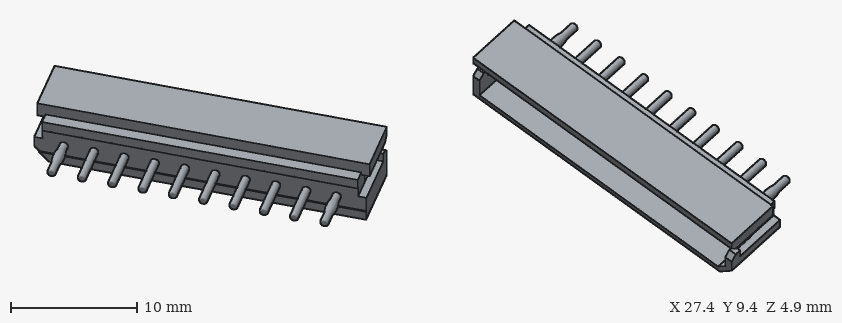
import cadquery as cq
import math

length = 27.4
height = 4.9
depth = 5.9
total_depth = 9.4

plate_depth = 4.9
plate_thickness = 1.23
lead_in = 0.5

floor_thickness = 0.5
rail_width = 0.68
rail_height = 2.16
lip_height = 2.93
lip_depth = 1.01
corner_chamfer = 1.23

web_start = 3.97
web_height = 3.92

recess_depth = 0.1
recess_bottom = 0.82
recess_top = 3.05

pin_count = 10
pin_row_length = 22.5
pin_height = 1.8
pin_radius = 0.35
tip_fillet = 0.16
bulge_radius = 0.47
bulge_offset = 0.65
bulge_length = 1.65

recess_face = recess_depth - depth
pin_length = total_depth + recess_face


def extrude_profile(points, start_x, width):
    """Extrude a closed (Y, Z) outline along +X from start_x."""
    return cq.Workplane("YZ").workplane(offset=start_x).polyline(points).close().extrude(width)


def box_between(corner, opposite):
    """Axis-aligned box spanning two opposite corners."""
    size = [b - a for a, b in zip(corner, opposite)]
    return cq.Workplane("XY").box(*size, centered=False).translate(corner)


def make_top_plate():
    underside = height - plate_thickness
    outline = [
        (0, height),
        (-plate_depth, height),
        (-plate_depth, underside),
        (-lead_in, underside),
        (0, underside + lead_in),
    ]
    return extrude_profile(outline, 0, length)


def make_end_rail(start_x):
    outline = [
        (0, 0),
        (-depth, 0),
        (-depth, rail_height),
        (-lip_depth, rail_height),
        (-lip_depth, lip_height),
        (-lead_in, lip_height),
        (0, lip_height - lead_in),
    ]
    return extrude_profile(outline, start_x, rail_width)


def make_floor():
    """Thin floor whose inner side slopes up parallel to the corner chamfer, so the wall stays closed."""
    slope_reach = corner_chamfer + floor_thickness * math.sqrt(2)
    outline = [
        (0, 0),
        (length, 0),
        (length, floor_thickness),
        (slope_reach - floor_thickness, floor_thickness),
        (rail_width, slope_reach - rail_width),
        (0, slope_reach - rail_width),
    ]
    return cq.Workplane("XZ").polyline(outline).close().extrude(depth)


def make_housing():
    web = box_between((rail_width, -depth, 0), (length - rail_width, -web_start, web_height))
    housing = make_top_plate().union(web).union(make_floor())
    for start_x in (0, length - rail_width):
        housing = housing.union(make_end_rail(start_x))

    recess = box_between((0, -depth, recess_bottom), (length, recess_face, recess_top))
    corner = (
        cq.Workplane("XZ")
        .polyline([(0, 0), (corner_chamfer, 0), (0, corner_chamfer)])
        .close()
        .extrude(depth)
    )
    return housing.cut(recess).cut(corner)


def make_pin():
    """Straight pin along -Y with its root on the recess face and a rounded tip."""
    return cq.Workplane("XZ").circle(pin_radius).extrude(pin_length).faces("<Y").edges().fillet(tip_fillet)


def make_end_pin():
    """Pin with a barrel-shaped press-fit bulge."""
    bulge_end = bulge_offset + bulge_length
    bulge = (
        cq.Workplane("XY")
        .moveTo(0, -bulge_offset)
        .lineTo(pin_radius, -bulge_offset)
        .threePointArc(
            (bulge_radius, -bulge_offset - bulge_length / 2),
            (pin_radius, -bulge_end),
        )
        .lineTo(0, -bulge_end)
        .close()
        .revolve(360, (0, 0, 0), (0, 1, 0))
    )
    return make_pin().union(bulge)


result = make_housing()
pin_pitch = pin_row_length / (pin_count - 1)
first_pin_x = (length - pin_row_length) / 2
for index in range(pin_count):
    is_end = index in (0, pin_count - 1)
    pin = make_end_pin() if is_end else make_pin()
    result = result.union(pin.translate((first_pin_x + index * pin_pitch, recess_face, pin_height)))